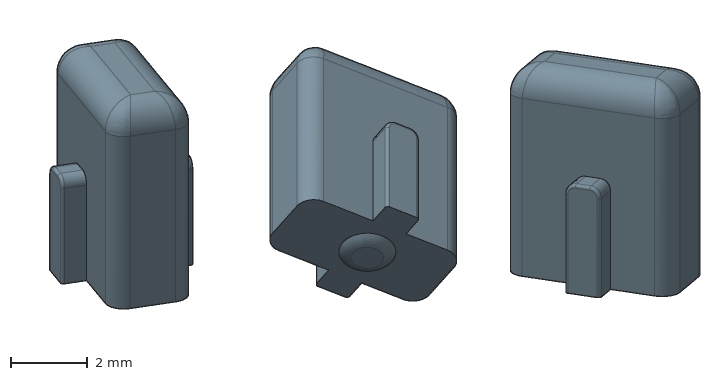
import cadquery as cq

total_height = 5.95
body_length = 4.75
body_width = 2.26
foot_height = 0.2
body_height = total_height - foot_height
corner_radius = 0.5
crown_radius = 0.8

rib_center_x = -0.125
rib_width = 1.0
rib_span = 3.65
rib_height = 3.045
rib_top_radius = 0.3
rib_face_radius = 0.09

foot_diameter = 1.49
foot_flat_diameter = 0.835
foot_bulge = 0.03


def make_body():
    """Upright block with a rounded crown and rounded vertical edges."""
    block = cq.Workplane("XY").box(body_length, body_width, body_height, centered=(True, True, False))
    crowned = block.faces(">Z").edges().fillet(crown_radius)
    return crowned.edges("|Z").fillet(corner_radius)


def make_ribs():
    """One bar through the body whose two ends form the side ribs."""
    bar = cq.Workplane("XY").box(rib_width, rib_span, rib_height, centered=(True, True, False))
    bar = bar.faces(">Z").edges("|Y").fillet(rib_top_radius)
    end_edges = bar.faces("<Y or >Y").edges("not <Z")
    return end_edges.fillet(rib_face_radius).translate((rib_center_x, 0, 0))


def make_foot():
    """Revolved button with a bulging flank and a flat underside."""
    rim = foot_diameter / 2
    flat = foot_flat_diameter / 2
    flank_middle = ((rim + flat) / 2 + foot_bulge, -foot_height / 2 - foot_bulge)
    profile = (
        cq.Workplane("XZ")
        .lineTo(rim, 0)
        .threePointArc(flank_middle, (flat, -foot_height))
        .lineTo(0, -foot_height)
        .close()
    )
    return profile.revolve(360, (0, 0, 0), (0, 1, 0)).translate((rib_center_x, 0, 0))


result = make_body().union(make_ribs()).union(make_foot())